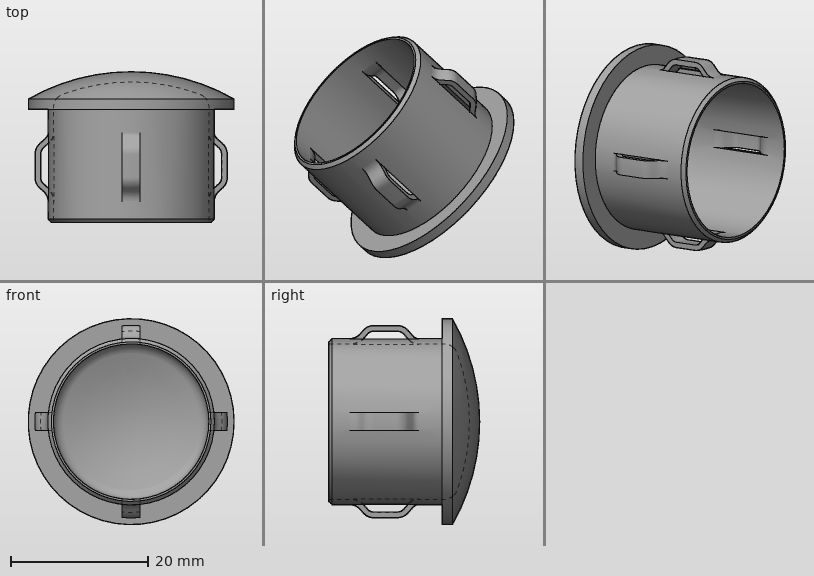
import cadquery as cq
import math


head_radius = 15.0
rim_height = 1.5
dome_rise = 4.0
dome_wall = rim_height
dome_radius = (head_radius**2 + dome_rise**2) / (2 * dome_rise)
dome_center_y = rim_height + dome_rise - dome_radius

tube_length = 16.5
tube_radius = 12.12
tube_wall = 0.8
tube_chamfer = 0.5
bore_radius = tube_radius - tube_wall
bore_fillet = 2.0

strip_width = 2.6
strip_length = 10.0
strip_offset = 3.42
strip_lift = 1.9
ramp_angle = math.radians(48)
near_foot_bend = 1.05
near_crest_bend = 2.07
far_crest_bend = 1.95
far_foot_bend = 1.95


def revolve_about_y(profile):
    """Turn a closed (radius, Y) profile fully around the Y axis."""
    return profile.close().revolve(360, (0, 0, 0), (0, 1, 0))


def make_body():
    """Solid head and tube."""
    dome_mid_radius = head_radius / 2
    dome_mid_y = dome_center_y + math.sqrt(dome_radius**2 - dome_mid_radius**2)
    profile = (
        cq.Workplane("XY")
        .moveTo(0, -tube_length)
        .lineTo(tube_radius - tube_chamfer, -tube_length)
        .lineTo(tube_radius, -tube_length + tube_chamfer)
        .lineTo(tube_radius, 0)
        .lineTo(head_radius, 0)
        .lineTo(head_radius, rim_height)
        .threePointArc((dome_mid_radius, dome_mid_y), (0, rim_height + dome_rise))
    )
    return revolve_about_y(profile)


def make_cavity():
    """Bore that ends in a dome parallel to the outer one, with a fillet between them."""
    inner_radius = dome_radius - dome_wall
    fillet_x = bore_radius - bore_fillet
    fillet_angle = math.acos(fillet_x / (inner_radius - bore_fillet))
    fillet_y = dome_center_y + (inner_radius - bore_fillet) * math.sin(fillet_angle)

    def on_fillet(angle):
        return (fillet_x + bore_fillet * math.cos(angle), fillet_y + bore_fillet * math.sin(angle))

    def on_dome(angle):
        return (inner_radius * math.cos(angle), dome_center_y + inner_radius * math.sin(angle))

    profile = (
        cq.Workplane("XY")
        .moveTo(0, -tube_length)
        .lineTo(bore_radius, -tube_length)
        .lineTo(bore_radius, fillet_y)
        .threePointArc(on_fillet(fillet_angle / 2), on_fillet(fillet_angle))
        .threePointArc(on_dome((fillet_angle + math.pi / 2) / 2), on_dome(math.pi / 2))
    )
    return revolve_about_y(profile)


def ramp_line(foot_bend, crest_bend):
    """Length of the straight part of a ramp that joins two bends and climbs the full lift."""
    bend_rise = (foot_bend + crest_bend) * (1 - math.cos(ramp_angle))
    return (strip_lift - bend_rise) / math.sin(ramp_angle)


def ramp_run(foot_bend, crest_bend):
    """Length along Y that a whole ramp takes up."""
    line_run = ramp_line(foot_bend, crest_bend) * math.cos(ramp_angle)
    return (foot_bend + crest_bend) * math.sin(ramp_angle) + line_run


def ramp_points(depth, foot_y, toward_crest, foot_bend, crest_bend):
    """Foot end, foot middle, line foot, line top, crest middle and crest end of one ramp.

    The edge lies `depth` below the outer skin; `toward_crest` is the Y direction of the climb.
    """
    foot_radius = foot_bend + depth
    crest_radius = crest_bend - depth
    foot_center_r = tube_radius + foot_bend
    crest_center_r = tube_radius + strip_lift - crest_bend
    crest_y = foot_y + toward_crest * ramp_run(foot_bend, crest_bend)

    def on_foot(angle):
        return (
            foot_center_r - foot_radius * math.cos(angle),
            foot_y + toward_crest * foot_radius * math.sin(angle),
        )

    def on_crest(angle):
        return (
            crest_center_r + crest_radius * math.cos(angle),
            crest_y - toward_crest * crest_radius * math.sin(angle),
        )

    foot = [on_foot(0), on_foot(ramp_angle / 2), on_foot(ramp_angle)]
    crest = [on_crest(ramp_angle), on_crest(ramp_angle / 2), on_crest(0)]
    return foot + crest


def trace_ramp(profile, points):
    """Draw arc, line and arc from the first ramp point, which the profile has already reached."""
    _, first_mid, line_start, line_end, last_mid, last_end = points
    return (
        profile.threePointArc(first_mid, line_start)
        .lineTo(*line_end)
        .threePointArc(last_mid, last_end)
    )


def make_strip_ring():
    """Bent strip section turned fully around the axis."""
    near_y = -strip_offset
    far_y = near_y - strip_length

    def near_ramp(depth):
        return ramp_points(depth, near_y, -1, near_foot_bend, near_crest_bend)

    def far_ramp(depth):
        return ramp_points(depth, far_y, 1, far_foot_bend, far_crest_bend)

    outer_near = near_ramp(0)
    outer_far = far_ramp(0)[::-1]
    inner_far = far_ramp(tube_wall)
    inner_near = near_ramp(tube_wall)[::-1]

    profile = cq.Workplane("XY").moveTo(*outer_near[0])
    profile = trace_ramp(profile, outer_near)
    for points in (outer_far, inner_far, inner_near):
        profile = trace_ramp(profile.lineTo(*points[0]), points)
    return revolve_about_y(profile)


def make_cross():
    """Two crossed bars that span the head along X and Z over the length of the strips."""
    center_y = -strip_offset - strip_length / 2
    span = 2 * head_radius
    bar_x = cq.Workplane("XY").box(span, strip_length, strip_width)
    bar_z = cq.Workplane("XY").box(strip_width, strip_length, span)
    return bar_x.union(bar_z).translate((0, center_y, 0))


cross = make_cross()
strips = make_strip_ring().intersect(cross)
result = make_body().cut(make_cavity()).cut(cross).union(strips)